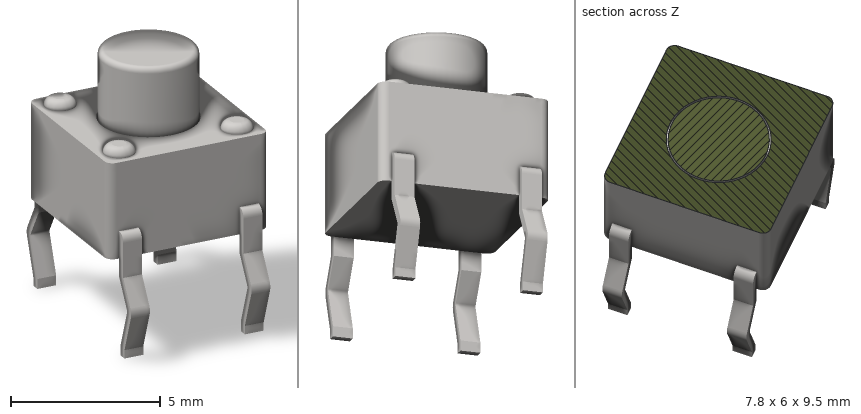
import cadquery as cq
import math


HALF_RIGHT_ANGLE = math.radians(45)

HOUSING_SIDE = 6.0
HOUSING_HEIGHT = 3.2
CORNER_RADIUS = 0.3

COVER_THICKNESS = 0.3
COVER_TOP = HOUSING_HEIGHT + COVER_THICKNESS
BUTTON_HOLE_RADIUS = 1.75
RIVET_OFFSET = 2.2
RIVET_FLAT_RADIUS = 0.25
RIVET_HEIGHT = 0.3

BUTTON_RADIUS = 1.7
BUTTON_PROJECTION = 2.5
BUTTON_HEIGHT = COVER_THICKNESS + BUTTON_PROJECTION
BUTTON_EDGE_RADIUS = 0.2

LEG_THICKNESS = 0.3
LEG_WIDTH = 0.7
LEG_OFFSET = 2.25
LEG_TOP = 1.0
LEG_BOTTOM = -3.5
LEG_SPAN = 7.8
SHANK_X = HOUSING_SIDE / 2
ELBOW_INNER_RADIUS = 0.1
ELBOW_OUTER_RADIUS = ELBOW_INNER_RADIUS + LEG_THICKNESS
ELBOW_X = LEG_SPAN / 2 - ELBOW_OUTER_RADIUS
FOOT_X = 3.1
KNEE_Z = -0.67
ELBOW_Z = -1.71
ANKLE_Z = -3.135


def rounded_slab(height, base_z):
    """Square slab over the full housing outline, with rounded vertical corners."""
    slab = cq.Workplane("XY").workplane(offset=base_z).rect(HOUSING_SIDE, HOUSING_SIDE).extrude(height)
    return slab.edges("|Z").fillet(CORNER_RADIUS)


def make_button():
    """Round button standing on the housing, with a rounded top edge."""
    button = cq.Workplane("XY").workplane(offset=HOUSING_HEIGHT).circle(BUTTON_RADIUS).extrude(BUTTON_HEIGHT)
    return button.faces(">Z").edges().fillet(BUTTON_EDGE_RADIUS)


def slope_to_elbow(x, z):
    """Angle from vertical of the line that leaves (x, z) and is tangent to the inner elbow arc."""
    reach_x = ELBOW_X - x
    reach_z = abs(ELBOW_Z - z)
    return math.atan2(reach_x, reach_z) + math.asin(ELBOW_INNER_RADIUS / math.hypot(reach_x, reach_z))


def elbow_point(radius, angle):
    """Point on an elbow arc, at an angle above the +X direction."""
    return (ELBOW_X + radius * math.cos(angle), ELBOW_Z + radius * math.sin(angle))


def make_leg():
    """One +X leg centred on Y = 0: down the housing side, out to the elbow, back in to the foot."""
    thigh_angle = slope_to_elbow(SHANK_X, KNEE_Z)
    shin_angle = slope_to_elbow(FOOT_X, ANKLE_Z)
    outer_knee_z = KNEE_Z + LEG_THICKNESS * math.tan(thigh_angle / 2)
    outer_ankle_z = ANKLE_Z - LEG_THICKNESS * math.tan(shin_angle / 2)

    top_arc_middle = (
        SHANK_X + LEG_THICKNESS * math.cos(HALF_RIGHT_ANGLE),
        LEG_TOP - LEG_THICKNESS + LEG_THICKNESS * math.sin(HALF_RIGHT_ANGLE),
    )
    profile = (
        cq.Workplane("XZ")
        .moveTo(SHANK_X, LEG_TOP)
        .threePointArc(top_arc_middle, (SHANK_X + LEG_THICKNESS, LEG_TOP - LEG_THICKNESS))
        .lineTo(SHANK_X + LEG_THICKNESS, outer_knee_z)
        .lineTo(*elbow_point(ELBOW_OUTER_RADIUS, thigh_angle))
        .threePointArc(elbow_point(ELBOW_OUTER_RADIUS, 0), elbow_point(ELBOW_OUTER_RADIUS, -shin_angle))
        .lineTo(FOOT_X + LEG_THICKNESS, outer_ankle_z)
        .lineTo(FOOT_X + LEG_THICKNESS, LEG_BOTTOM)
        .lineTo(FOOT_X, LEG_BOTTOM)
        .lineTo(FOOT_X, ANKLE_Z)
        .lineTo(*elbow_point(ELBOW_INNER_RADIUS, -shin_angle))
        .threePointArc(elbow_point(ELBOW_INNER_RADIUS, 0), elbow_point(ELBOW_INNER_RADIUS, thigh_angle))
        .lineTo(SHANK_X, KNEE_Z)
        .close()
    )
    return profile.extrude(LEG_WIDTH / 2, both=True)


def make_base():
    """Housing in one piece with the button and the four legs."""
    base = rounded_slab(HOUSING_HEIGHT, 0).union(make_button())
    right_leg = make_leg()
    left_leg = right_leg.mirror("YZ")
    for leg in (right_leg, left_leg):
        for leg_y in (-LEG_OFFSET, LEG_OFFSET):
            base = base.union(leg.translate((0, leg_y, 0)))
    return base


def make_rivet_head():
    """Low dome on the Z axis: a flat top with a quarter-round flank down to Z = 0."""
    flank_middle = RIVET_HEIGHT * math.sin(HALF_RIGHT_ANGLE)
    return (
        cq.Workplane("XZ")
        .lineTo(RIVET_FLAT_RADIUS + RIVET_HEIGHT, 0)
        .threePointArc((RIVET_FLAT_RADIUS + flank_middle, flank_middle), (RIVET_FLAT_RADIUS, RIVET_HEIGHT))
        .lineTo(0, RIVET_HEIGHT)
        .close()
        .revolve(360, (0, 0, 0), (0, 1, 0))
    )


def make_cover():
    """Cover plate with a clearance hole for the button and a rivet head near each corner."""
    button_hole = (
        cq.Workplane("XY")
        .workplane(offset=HOUSING_HEIGHT)
        .circle(BUTTON_HOLE_RADIUS)
        .extrude(COVER_THICKNESS)
    )
    cover = rounded_slab(COVER_THICKNESS, HOUSING_HEIGHT).cut(button_hole)
    rivet_head = make_rivet_head()
    for rivet_x in (-RIVET_OFFSET, RIVET_OFFSET):
        for rivet_y in (-RIVET_OFFSET, RIVET_OFFSET):
            cover = cover.union(rivet_head.translate((rivet_x, rivet_y, COVER_TOP)))
    return cover


base = make_base()
cover = make_cover()

result = cq.Compound.makeCompound([*base.solids().vals(), *cover.solids().vals()])